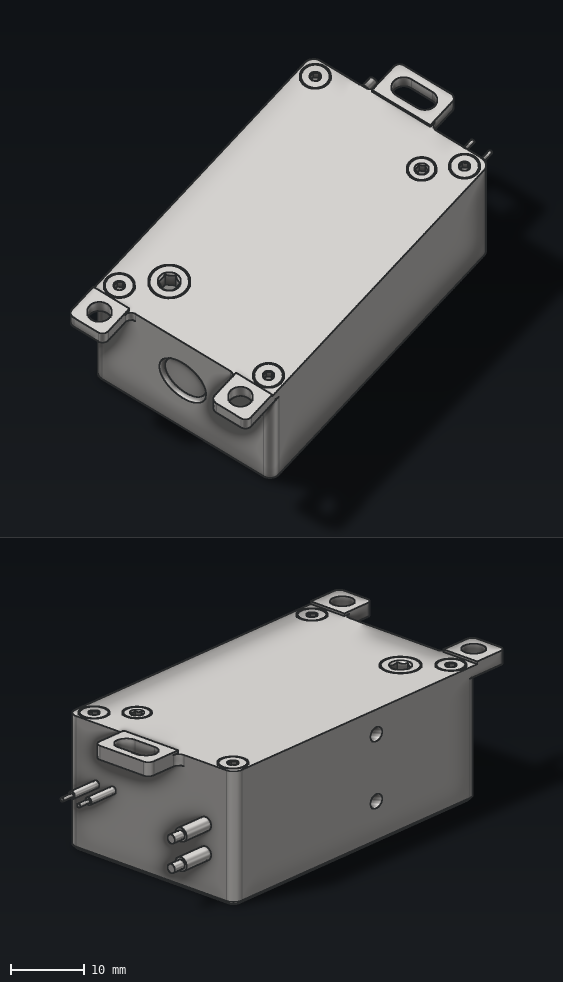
import cadquery as cq
import math

BODY_WIDTH = 30.6
BODY_LENGTH = 49.7
BODY_HEIGHT = 20.1
CORNER_RADIUS = 1.5
BOTTOM_CHAMFER = 0.6

LUG_THICKNESS = 2.1
LUG_STEP = 0.4
LUG_CORNER_RADIUS = 1.0
LUG_ROOT_RADIUS = 1.0
LUG_HOLE_DIAMETER = 3.4
FRONT_LUG_WIDTH = 6.2
FRONT_LUG_REACH = 5.8
FRONT_HOLE_FROM_SIDE = 3.25
FRONT_HOLE_FROM_END = 2.9
REAR_LUG_WIDTH = 10.0
REAR_LUG_REACH = 6.0
REAR_SLOT_LENGTH = 7.0

SCREW_GAP_DEPTH = 0.6
HEXAGON_TURN = 30.0
COVER_SCREW_INSET = 2.55
COVER_SCREW_BORE = 4.3
COVER_SCREW_HEAD = 3.9
COVER_SCREW_SOCKET = 1.3
COVER_SOCKET_MOUTH = 1.62
COVER_SOCKET_DEPTH = 1.2
REAR_SCREW_X = 8.35
REAR_SCREW_FROM_REAR = 6.45
REAR_SCREW_BORE = 4.1
REAR_SCREW_HEAD = 3.7
REAR_SCREW_SOCKET = 1.5
REAR_SOCKET_MOUTH = 2.01
REAR_SOCKET_DEPTH = 1.5
FRONT_SCREW_X = -7.7
FRONT_SCREW_FROM_FRONT = 7.2
FRONT_SCREW_BORE = 5.8
FRONT_SCREW_HEAD = 5.4
FRONT_SCREW_SOCKET = 2.5
FRONT_SOCKET_MOUTH = 3.2
FRONT_SOCKET_DEPTH = 2.5

BORE_HEIGHT = 11.4
BORE_DIAMETER = 8.0
BORE_DEPTH = 3.0
ROD_DIAMETER = 7.0
ROD_END_DEPTH = 0.65

SIDE_HOLE_DIAMETER = 2.08
SIDE_HOLE_FROM_FRONT = 20.65
SIDE_HOLE_HEIGHTS = (6.4, 16.4)
SIDE_HOLE_ANGLE = 30.0
SIDE_HOLE_DEPTH = 1.1

WIRE_INSULATION_LENGTH = 5.0
WIRE_LENGTH = 7.0
THICK_WIRE_X = -10.0
THICK_WIRE_HEIGHTS = (6.6, 11.0)
THICK_INSULATION_DIAMETER = 2.08
THICK_CORE_DIAMETER = 1.35
THIN_WIRE_XS = (7.0, 10.05)
THIN_WIRE_HEIGHT = THICK_WIRE_HEIGHTS[1]
THIN_INSULATION_DIAMETER = 1.14
THIN_CORE_DIAMETER = 0.58

HALF_WIDTH = BODY_WIDTH / 2
LUG_TOP = BODY_HEIGHT + LUG_STEP
LUG_BOTTOM = LUG_TOP - LUG_THICKNESS
OVERLAP = 0.5


def housing():
    block = (
        cq.Workplane("XY")
        .rect(BODY_WIDTH, BODY_LENGTH)
        .extrude(BODY_HEIGHT)
        .translate((0, BODY_LENGTH / 2, 0))
    )
    return block.edges("|Z").fillet(CORNER_RADIUS).faces("<Z").edges().chamfer(BOTTOM_CHAMFER)


def box(x_min, x_max, y_min, y_max, z_min, z_max):
    corner = (x_min, y_min, z_min)
    block = cq.Workplane("XY").box(x_max - x_min, y_max - y_min, z_max - z_min, centered=False)
    return block.translate(corner)


def lug_root(x, y, x_side, y_side):
    """Concave corner piece at (x, y), growing toward x_side and y_side (+1 or -1)."""
    radius = LUG_ROOT_RADIUS
    to_middle = radius * (1 - math.sqrt(0.5))
    return (
        cq.Workplane("XY", origin=(0, 0, LUG_BOTTOM))
        .moveTo(x - x_side * OVERLAP, y - y_side * OVERLAP)
        .lineTo(x + x_side * radius, y - y_side * OVERLAP)
        .lineTo(x + x_side * radius, y)
        .threePointArc((x + x_side * to_middle, y + y_side * to_middle), (x, y + y_side * radius))
        .lineTo(x - x_side * OVERLAP, y + y_side * radius)
        .close()
        .extrude(BODY_HEIGHT - LUG_BOTTOM)
    )


def front_lug(side):
    """Lug with a round hole, flush with one side of the housing (-1 left, +1 right)."""
    outer = side * HALF_WIDTH
    inner = side * (HALF_WIDTH - FRONT_LUG_WIDTH)
    x_min, x_max = sorted((outer, inner))
    plate = box(x_min, x_max, -FRONT_LUG_REACH, 0, LUG_BOTTOM, LUG_TOP)
    plate = plate.edges("|Z and <Y").fillet(LUG_CORNER_RADIUS)
    filler = box(x_min, x_max, 0, CORNER_RADIUS, LUG_BOTTOM, BODY_HEIGHT)
    hole = (
        cq.Workplane("XY", origin=(0, 0, LUG_BOTTOM))
        .center(side * (HALF_WIDTH - FRONT_HOLE_FROM_SIDE), FRONT_HOLE_FROM_END - FRONT_LUG_REACH)
        .circle(LUG_HOLE_DIAMETER / 2)
        .extrude(LUG_THICKNESS)
    )
    return plate.union(filler).union(lug_root(inner, 0, -side, -1)).cut(hole)


def rear_lug():
    half = REAR_LUG_WIDTH / 2
    end = BODY_LENGTH + REAR_LUG_REACH
    plate = box(-half, half, BODY_LENGTH, end, LUG_BOTTOM, LUG_TOP)
    plate = plate.edges("|Z and >Y").fillet(LUG_CORNER_RADIUS)
    slot = (
        cq.Workplane("XY", origin=(0, 0, LUG_BOTTOM))
        .center(0, BODY_LENGTH + REAR_LUG_REACH / 2)
        .slot2D(REAR_SLOT_LENGTH, LUG_HOLE_DIAMETER)
        .extrude(LUG_THICKNESS)
    )
    for side in (-1, 1):
        plate = plate.union(lug_root(side * half, BODY_LENGTH, side, 1))
    return plate.cut(slot)


def screw_cut(x, y, bore, head, socket, mouth, socket_depth):
    """Ring gap around a flush screw head, and a hexagon socket with a 45 degree cone at its mouth."""
    top = cq.Workplane("XY", origin=(x, y, BODY_HEIGHT))
    gap = top.circle(bore / 2).circle(head / 2).extrude(-SCREW_GAP_DEPTH)
    across_corners = socket / math.cos(math.pi / 6)
    hexagon = top.transformed(rotate=(0, 0, HEXAGON_TURN)).polygon(6, across_corners).extrude(-socket_depth)
    cone_height = (mouth - socket) / 2
    mouth_center = cq.Vector(x, y, BODY_HEIGHT)
    cone = cq.Solid.makeCone(mouth / 2, socket / 2, cone_height, mouth_center, cq.Vector(0, 0, -1))
    return gap.union(hexagon).union(cq.Workplane(obj=cone))


def cover_screw_cuts():
    """Cuts for the four screws in the corners of the top face."""
    side_x = HALF_WIDTH - COVER_SCREW_INSET
    return [
        screw_cut(
            x,
            y,
            COVER_SCREW_BORE,
            COVER_SCREW_HEAD,
            COVER_SCREW_SOCKET,
            COVER_SOCKET_MOUTH,
            COVER_SOCKET_DEPTH,
        )
        for x in (-side_x, side_x)
        for y in (COVER_SCREW_INSET, BODY_LENGTH - COVER_SCREW_INSET)
    ]


def rear_screw_cut():
    return screw_cut(
        REAR_SCREW_X,
        BODY_LENGTH - REAR_SCREW_FROM_REAR,
        REAR_SCREW_BORE,
        REAR_SCREW_HEAD,
        REAR_SCREW_SOCKET,
        REAR_SOCKET_MOUTH,
        REAR_SOCKET_DEPTH,
    )


def front_screw_cut():
    return screw_cut(
        FRONT_SCREW_X,
        FRONT_SCREW_FROM_FRONT,
        FRONT_SCREW_BORE,
        FRONT_SCREW_HEAD,
        FRONT_SCREW_SOCKET,
        FRONT_SOCKET_MOUTH,
        FRONT_SOCKET_DEPTH,
    )


def rod_bore():
    """Bore around the rod, with the rod left standing up to just below the front face."""
    front = cq.Workplane("XZ", origin=(0, 0, BORE_HEIGHT))
    bore = front.circle(BORE_DIAMETER / 2).extrude(-BORE_DEPTH)
    rod = front.workplane(offset=-ROD_END_DEPTH).circle(ROD_DIAMETER / 2).extrude(ROD_END_DEPTH - BORE_DEPTH)
    return bore.cut(rod)


def side_hole(height):
    """Flat-bottomed hole leaning toward the rear."""
    angle = math.radians(SIDE_HOLE_ANGLE)
    axis = cq.Vector(math.cos(angle), math.sin(angle), 0)
    mouth = cq.Vector(-HALF_WIDTH, SIDE_HOLE_FROM_FRONT, height)
    start = mouth - axis * SIDE_HOLE_DIAMETER
    length = SIDE_HOLE_DIAMETER + SIDE_HOLE_DEPTH
    return cq.Workplane(obj=cq.Solid.makeCylinder(SIDE_HOLE_DIAMETER / 2, length, start, axis))


def wire(x, height, insulation_diameter, core_diameter):
    rear = cq.Workplane("XZ", origin=(x, BODY_LENGTH, height))
    insulation = rear.circle(insulation_diameter / 2).extrude(-WIRE_INSULATION_LENGTH)
    core = rear.circle(core_diameter / 2).extrude(-WIRE_LENGTH)
    return insulation.union(core)


part = housing().union(rear_lug())
for side in (-1, 1):
    part = part.union(front_lug(side))

for cut in cover_screw_cuts() + [rear_screw_cut(), front_screw_cut()]:
    part = part.cut(cut)

part = part.cut(rod_bore())
for height in SIDE_HOLE_HEIGHTS:
    part = part.cut(side_hole(height))

for height in THICK_WIRE_HEIGHTS:
    part = part.union(wire(THICK_WIRE_X, height, THICK_INSULATION_DIAMETER, THICK_CORE_DIAMETER))
for x in THIN_WIRE_XS:
    part = part.union(wire(x, THIN_WIRE_HEIGHT, THIN_INSULATION_DIAMETER, THIN_CORE_DIAMETER))

result = part